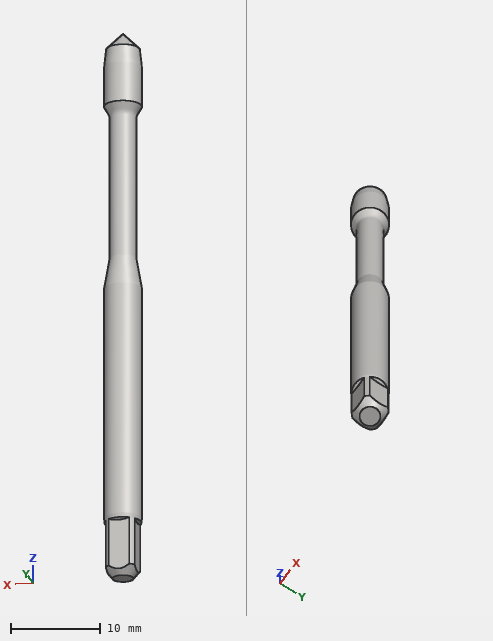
import cadquery as cq

total_length = 64.7
shank_radius = 4.3 / 2
head_radius = 4.3 / 2
neck_radius = 3.05 / 2

tip_radius = 3.8 / 2
tip_base_z = total_length - tip_radius
lead_base_z = 60.65
head_base_z = 56.0
head_chamfer_radius = 1.7
head_chamfer_end_z = 55.2
neck_top_z = 54.65

shoulder_top_z = 37.95
shoulder_base_z = 34.4

shank_base_z = 7.1
drive_corner_radius = 4.15 / 2
drive_width = 3.35
drive_top_z = 6.4
shank_taper_end_z = 6.6
end_chamfer_height = 1.1
end_radius = 1.15


def turned_body():
    """Head, neck and shank, with two cones leading from the shank to the drive flats."""
    return (
        cq.Workplane("XZ")
        .moveTo(0, drive_top_z)
        .lineTo(drive_width / 2, drive_top_z)
        .lineTo(drive_corner_radius, shank_taper_end_z)
        .lineTo(shank_radius, shank_base_z)
        .lineTo(shank_radius, shoulder_base_z)
        .lineTo(neck_radius, shoulder_top_z)
        .lineTo(neck_radius, neck_top_z)
        .tangentArcPoint((head_chamfer_radius, head_chamfer_end_z), relative=False)
        .lineTo(head_radius, head_base_z)
        .lineTo(head_radius, lead_base_z)
        .lineTo(tip_radius, tip_base_z)
        .lineTo(0, total_length)
        .close()
        .revolve(360, (0, 0), (0, 1))
    )


def square_drive():
    """Square bar with turned corners and a conical free end."""
    turned_blank = (
        cq.Workplane("XZ")
        .lineTo(end_radius, 0)
        .lineTo(drive_corner_radius, end_chamfer_height)
        .lineTo(drive_corner_radius, shank_base_z)
        .lineTo(0, shank_base_z)
        .close()
        .revolve(360, (0, 0), (0, 1))
    )
    square_bar = cq.Workplane("XY").rect(drive_width, drive_width).extrude(shank_base_z)
    return turned_blank.intersect(square_bar)


result = turned_body().union(square_drive())